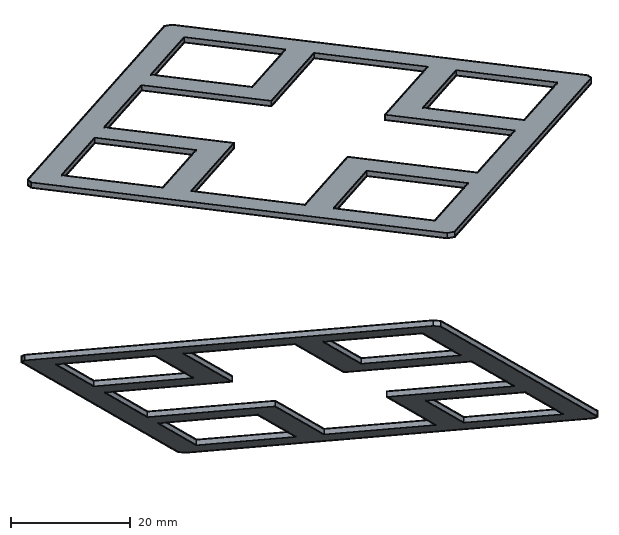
import cadquery as cq

side = 75.0
thickness = 1.0
corner_chamfer = 1.0

rim_width = 4.7
bar_width = 5.0
cross_arm_width = 19.95

opening_span = side - 2 * rim_width
window_side = (opening_span - cross_arm_width) / 2 - bar_width
window_spacing = opening_span - window_side


def through_cutter(length, width):
    """Box through the full plate thickness, centred on the origin."""
    return cq.Workplane("XY").box(length, width, thickness)


plate = cq.Workplane("XY").box(side, side, thickness).edges("|Z").chamfer(corner_chamfer)

cross = through_cutter(opening_span, cross_arm_width).union(
    through_cutter(cross_arm_width, opening_span)
)

windows = (
    cq.Workplane("XY")
    .rarray(window_spacing, window_spacing, 2, 2)
    .box(window_side, window_side, thickness)
)

result = plate.cut(cross).cut(windows)